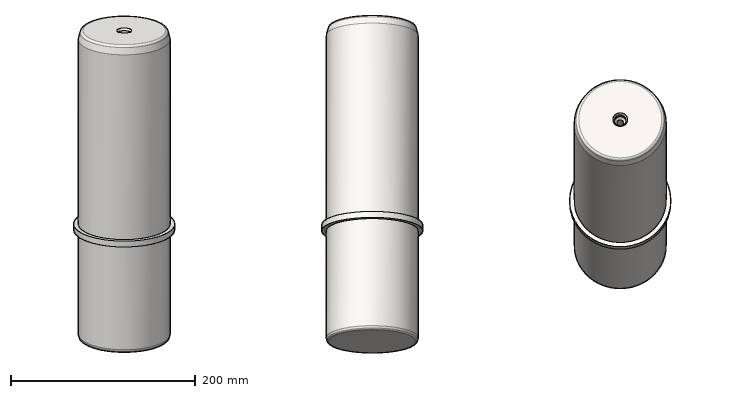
import cadquery as cq
import math

length = 355.0
body_radius = 100.0 / 2
collar_radius = 110.0 / 2

collar_bottom = 124.5
collar_height = 6.7

taper_slope = math.tan(math.radians(15))
top_taper_height = 10.0
top_rounding = 3.0
bottom_taper_height = 4.0
bottom_rounding = 2.0

mouth_radius = 16.0 / 2
bore_radius = 12.8 / 2
pilot_radius = 7.0 / 2
mouth_depth = 2.5
bore_depth = 6.7
seat_depth = 9.2
pilot_depth = 28.5


def make_body():
    """Pin with tapered ends and rounded end edges, revolved about Z."""
    profile = [
        (0, 0),
        (body_radius - bottom_taper_height * taper_slope, 0),
        (body_radius, bottom_taper_height),
        (body_radius, length - top_taper_height),
        (body_radius - top_taper_height * taper_slope, length),
        (0, length),
    ]
    pin = cq.Workplane("XZ").polyline(profile).close().revolve(360, (0, 0), (0, 1))
    pin = pin.faces(">Z").edges().fillet(top_rounding)
    return pin.faces("<Z").edges().fillet(bottom_rounding)


def make_collar():
    return (
        cq.Workplane("XY")
        .workplane(offset=collar_bottom)
        .circle(collar_radius)
        .extrude(collar_height)
    )


def make_centre_hole():
    """Solid to remove for the centre hole in the top face."""
    profile = [
        (0, length),
        (mouth_radius, length),
        (bore_radius, length - mouth_depth),
        (bore_radius, length - bore_depth),
        (pilot_radius, length - seat_depth),
        (pilot_radius, length - pilot_depth),
        (0, length - pilot_depth),
    ]
    return cq.Workplane("XZ").polyline(profile).close().revolve(360, (0, 0), (0, 1))


result = make_body().union(make_collar()).cut(make_centre_hole())